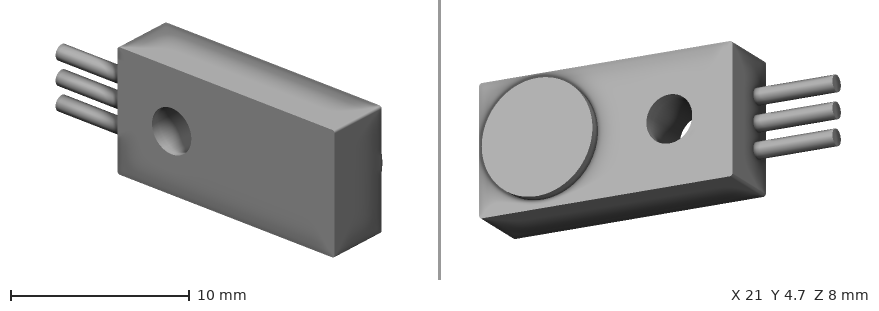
import cadquery as cq

total_length = 21.0
housing_length = 16.0
housing_depth = 4.03
housing_height = 8.0
corner_radius = 0.17
lead_length = total_length - housing_length

hole_diameter = 2.9
hole_from_lead_end = 4.0

total_depth = 4.7
boss_diameter = 7.0
boss_from_lead_end = 12.0
boss_height = total_depth - housing_depth

lead_count = 3
lead_diameter = 1.0
lead_pitch = 1.6
lead_from_front = 1.0


def cylinder_along_y(diameter, length, x, start_y):
    """Cylinder on the housing mid-height, growing towards +Y from start_y."""
    base = cq.Workplane("XZ", origin=(x, start_y, 0))
    return base.circle(diameter / 2).extrude(-length)


def make_lead(z):
    """Round lead ending on the -X face of the housing."""
    base = cq.Workplane("YZ", origin=(-lead_length, lead_from_front, z))
    return base.circle(lead_diameter / 2).extrude(lead_length)


housing = (
    cq.Workplane("XY")
    .box(housing_length, housing_depth, housing_height, centered=(False, False, True))
    .edges("|Y")
    .fillet(corner_radius)
)
hole = cylinder_along_y(hole_diameter, housing_depth, hole_from_lead_end, 0)
boss = cylinder_along_y(boss_diameter, boss_height, boss_from_lead_end, housing_depth)

result = housing.cut(hole).union(boss)
for index in range(lead_count):
    lead_z = (index - (lead_count - 1) / 2) * lead_pitch
    result = result.union(make_lead(lead_z))